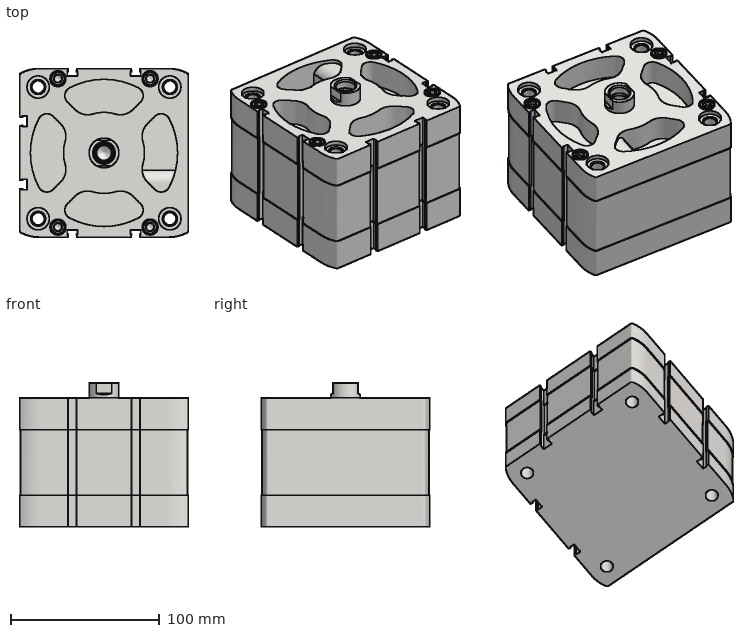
import cadquery as cq
import math

side = 113.5
half_side = side / 2
cap_height = 21.4
housing_height = 86.8
seam_z = housing_height - cap_height
barrel_inset = 0.5

corner_radius = 25.0
corner_center_x = 44.1
corner_center_y = half_side - corner_radius
corner_blend_radius = 1.8

slot_offset = 21.25
slot_mouth_width = 6.0
slot_neck_width = 5.5
slot_width = 6.8
slot_depth = 4.9
slot_lip = 1.6

pocket_outer_radius = 49.5
pocket_inner_radius = 27.25
pocket_depth = 18.5
rib_half_width = 6.8
pocket_outer_fillet = 6.0
pocket_inner_fillet = 12.0

boss_radius = 8.5
boss_half_width = 8.2
boss_y = -20.0
boss_top_z = housing_height - 2.5

mount_offset = 44.3
mount_hole_diameter = 8.38
mount_countersink_diameter = 10.0
mount_recess_diameter = 15.0
mount_recess_depth = 3.0

screw_x = 31.0
screw_y = 49.9
screw_clearance_diameter = 10.7
screw_head_diameter = 10.0
screw_head_top_diameter = 8.57
screw_gap_depth = 3.0
socket_across_flats = 5.0
socket_depth = 3.0
socket_tip_half_angle = math.radians(75)
socket_turn = 45.0
socket_corner_diameter = socket_across_flats / math.cos(math.pi / 6)

rod_diameter = 20.0
rod_radius = rod_diameter / 2
rod_projection = 10.0
rod_top_z = housing_height + rod_projection
rod_length = rod_projection + cap_height
rod_across_flats = 17.0
rod_flat_length = 7.0
rod_ledge_drop = 0.9
rod_mouth_diameter = 15.0
rod_bore_diameter = 13.0
rod_bore_depth = 6.0
thread_countersink_diameter = 12.0
thread_hole_diameter = 10.11
thread_hole_depth = 24.0
drill_half_angle = math.radians(59)


def housing_slab(inset, bottom_z, height):
    """Slab with the housing outline, moved inwards by the inset."""
    half = half_side - inset
    radius = corner_radius - inset
    arc_span = half - corner_center_x
    mid_x = corner_center_x + arc_span / 2
    mid_y = corner_center_y + math.sqrt(radius**2 - (arc_span / 2) ** 2)
    edge_y = corner_center_y + math.sqrt(radius**2 - arc_span**2)
    return (
        cq.Workplane("XY", origin=(0, 0, bottom_z))
        .moveTo(half, -edge_y)
        .lineTo(half, edge_y)
        .threePointArc((mid_x, mid_y), (corner_center_x, half))
        .lineTo(-corner_center_x, half)
        .threePointArc((-mid_x, mid_y), (-half, edge_y))
        .lineTo(-half, -edge_y)
        .threePointArc((-mid_x, -mid_y), (-corner_center_x, -half))
        .lineTo(corner_center_x, -half)
        .threePointArc((mid_x, -mid_y), (half, -edge_y))
        .close()
        .extrude(height)
        .edges("|Z and (<X or >X)")
        .fillet(corner_blend_radius - inset)
    )


def slot_pair(inset, bottom_z, height):
    """Two T-slot cutters with tapered necks on the -X side, moved inwards by the inset."""
    mouth_x = inset - half_side
    lip_x = mouth_x + slot_lip
    floor_x = mouth_x + slot_depth
    mouth_half = slot_mouth_width / 2
    neck_half = slot_neck_width / 2
    slot_half = slot_width / 2
    slots = cq.Workplane("XY")
    for y in (-slot_offset, slot_offset):
        slots = slots.union(
            cq.Workplane("XY", origin=(0, y, bottom_z))
            .polyline([
                (mouth_x, -mouth_half), (lip_x, -neck_half), (lip_x, -slot_half),
                (floor_x, -slot_half), (floor_x, slot_half), (lip_x, slot_half),
                (lip_x, neck_half), (mouth_x, mouth_half),
            ])
            .close()
            .extrude(height)
        )
    return slots


def housing_section(inset, bottom_z, height):
    """Slab with T-slots on the -X, -Y and +Y sides."""
    section = housing_slab(inset, bottom_z, height)
    for turn in (0, 90, -90):
        section = section.cut(slot_pair(inset, bottom_z, height).rotate((0, 0, 0), (0, 0, 1), turn))
    return section


def pocket():
    """Cutter for the +X pocket: a ring sector between two diagonal ribs."""
    floor_z = housing_height - pocket_depth
    rib_point = rib_half_width * math.sqrt(2)
    sector = (
        cq.Workplane("XY", origin=(0, 0, floor_z))
        .polyline([(rib_point, 0), (side, side - rib_point), (side, rib_point - side)])
        .close()
        .extrude(pocket_depth)
    )
    ring = (
        cq.Workplane("XY", origin=(0, 0, floor_z))
        .circle(pocket_outer_radius)
        .circle(pocket_inner_radius)
        .extrude(pocket_depth)
    )
    inner_corner_zone = cq.selectors.BoxSelector((0, -side, 0), (pocket_inner_radius, side, side))
    return (
        ring.intersect(sector)
        .edges("|Z")
        .edges(inner_corner_zone)
        .fillet(pocket_inner_fillet)
        .edges("|Z")
        .edges(">Y or <Y")
        .fillet(pocket_outer_fillet)
    )


def port_boss():
    """Bar along X: flat top towards -Y, round shoulder and upright flank towards +Y."""
    floor_z = housing_height - pocket_depth
    axis_z = boss_top_z - boss_radius
    flank_y = boss_y + boss_half_width
    shoulder_z = axis_z + math.sqrt(boss_radius**2 - boss_half_width**2)
    mid_angle = math.asin(boss_half_width / boss_radius) / 2
    mid_y = boss_y + boss_radius * math.sin(mid_angle)
    mid_z = axis_z + boss_radius * math.cos(mid_angle)
    return (
        cq.Workplane("YZ")
        .moveTo(flank_y, floor_z)
        .lineTo(flank_y, shoulder_z)
        .threePointArc((mid_y, mid_z), (boss_y, boss_top_z))
        .lineTo(-half_side, boss_top_z)
        .lineTo(-half_side, floor_z)
        .close()
        .extrude(half_side)
    )


def mount_hole():
    """Cutter for one through hole with a recess and a countersink."""
    hole_radius = mount_hole_diameter / 2
    sink_radius = mount_countersink_diameter / 2
    recess_radius = mount_recess_diameter / 2
    recess_z = housing_height - mount_recess_depth
    sink_z = recess_z - (sink_radius - hole_radius)
    return (
        cq.Workplane("XZ")
        .polyline([
            (0, 0), (hole_radius, 0), (hole_radius, sink_z), (sink_radius, recess_z),
            (recess_radius, recess_z), (recess_radius, housing_height), (0, housing_height),
        ])
        .close()
        .revolve()
    )


def screw_recess():
    """Two cutters for one screw: the gap around its head and its hexagon socket."""
    clearance_radius = screw_clearance_diameter / 2
    head_radius = screw_head_diameter / 2
    head_top_radius = screw_head_top_diameter / 2
    chamfer_z = housing_height - (head_radius - head_top_radius)
    gap_z = housing_height - screw_gap_depth
    gap = (
        cq.Workplane("XZ")
        .polyline([
            (head_radius, gap_z), (clearance_radius, gap_z), (clearance_radius, housing_height),
            (head_top_radius, housing_height), (head_radius, chamfer_z),
        ])
        .close()
        .revolve(360, (0, 0), (0, 1))
    )
    socket_floor_z = housing_height - socket_depth
    flat_radius = socket_across_flats / 2
    mouth_radius = socket_corner_diameter / 2
    sink_z = housing_height - (mouth_radius - flat_radius)
    hexagon = (
        cq.Workplane("XY", origin=(0, 0, socket_floor_z))
        .polygon(6, socket_corner_diameter)
        .extrude(socket_depth)
        .rotate((0, 0, 0), (0, 0, 1), socket_turn)
    )
    tip_z = socket_floor_z - flat_radius / math.tan(socket_tip_half_angle)
    cones = (
        cq.Workplane("XZ")
        .polyline([
            (0, tip_z), (flat_radius, socket_floor_z), (flat_radius, sink_z),
            (mouth_radius, housing_height), (0, housing_height),
        ])
        .close()
        .revolve()
    )
    return gap, hexagon.union(cones)


def make_housing():
    body = housing_section(0, 0, cap_height)
    body = body.union(housing_section(barrel_inset, cap_height, seam_z - cap_height))
    body = body.union(housing_section(0, seam_z, cap_height))

    body = body.cut(pocket().cut(port_boss()))
    for turn in (90, 180, 270):
        body = body.cut(pocket().rotate((0, 0, 0), (0, 0, 1), turn))

    for x_sign in (-1, 1):
        for y_sign in (-1, 1):
            mount_place = (x_sign * mount_offset, y_sign * mount_offset, 0)
            screw_place = (x_sign * screw_x, y_sign * screw_y, 0)
            body = body.cut(mount_hole().translate(mount_place))
            for cutter in screw_recess():
                body = body.cut(cutter.translate(screw_place))

    rod_hole = cq.Workplane("XY", origin=(0, 0, seam_z)).circle(rod_radius).extrude(cap_height)
    return body.cut(rod_hole)


def rod_bore():
    """Cutter for the chamfered bore and the threaded hole below it."""
    mouth_radius = rod_mouth_diameter / 2
    bore_radius = rod_bore_diameter / 2
    sink_radius = thread_countersink_diameter / 2
    hole_radius = thread_hole_diameter / 2
    bore_floor_z = rod_top_z - rod_bore_depth
    hole_end_z = rod_top_z - thread_hole_depth
    return (
        cq.Workplane("XZ")
        .polyline([
            (0, rod_top_z), (mouth_radius, rod_top_z),
            (bore_radius, rod_top_z - (mouth_radius - bore_radius)),
            (bore_radius, bore_floor_z), (sink_radius, bore_floor_z),
            (hole_radius, bore_floor_z - (sink_radius - hole_radius)), (hole_radius, hole_end_z),
            (0, hole_end_z - hole_radius / math.tan(drill_half_angle)),
        ])
        .close()
        .revolve()
    )


def rod_flat():
    """Cutter for the +Y wrench flat with its outward sloping ledge."""
    flat_y = rod_across_flats / 2
    ledge_z = rod_top_z - rod_flat_length
    return (
        cq.Workplane("YZ")
        .polyline([
            (flat_y, rod_top_z), (flat_y, ledge_z), (rod_radius, ledge_z - rod_ledge_drop),
            (rod_radius, rod_top_z),
        ])
        .close()
        .extrude(rod_radius, both=True)
    )


def make_rod():
    rod = cq.Workplane("XY", origin=(0, 0, seam_z)).circle(rod_radius).extrude(rod_length)
    rod = rod.cut(rod_bore())
    for turn in (0, 180):
        rod = rod.cut(rod_flat().rotate((0, 0, 0), (0, 0, 1), turn))
    return rod


housing = make_housing()
piston_rod = make_rod()

result = cq.Compound.makeCompound([housing.solids().val(), piston_rod.solids().val()])